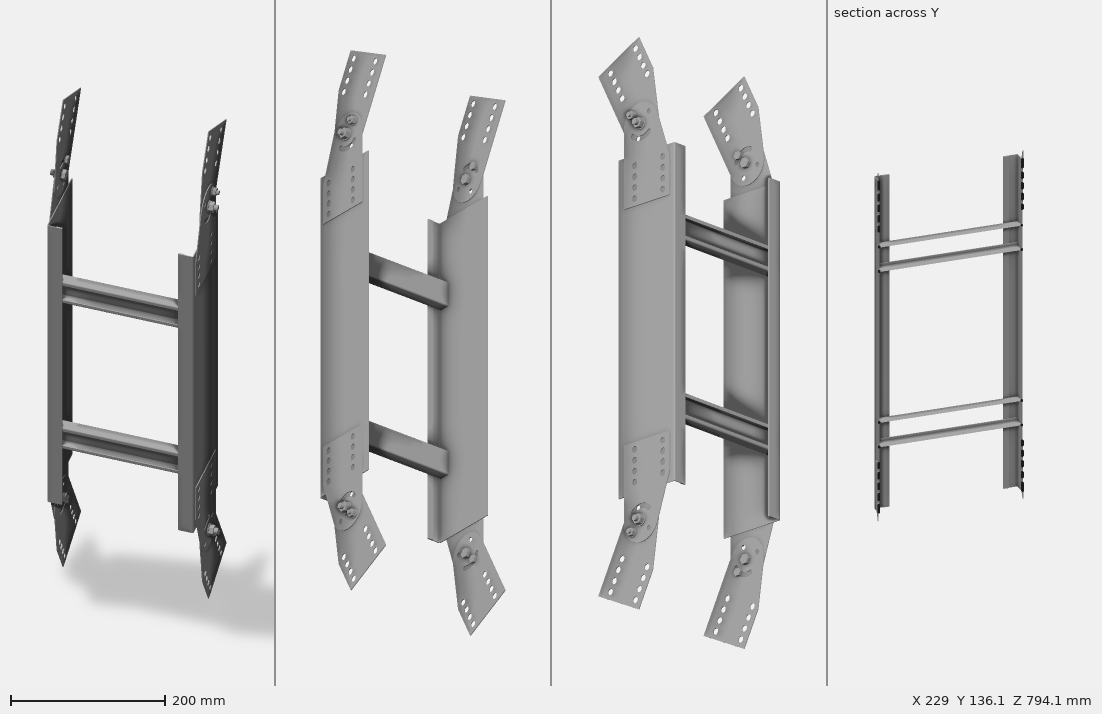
import cadquery as cq
import math

RAIL_OUTSIDE = 100.0
SHEET = 1.2
BEND_RADIUS = 2.0
INNER_BEND = BEND_RADIUS - SHEET
PLATE = 1.2

RAIL_LENGTH = 469.5
RAIL_DEPTH = 100.0
RAIL_FLANGE = 21.0
HEM_WIDTH = 8.0
HEM_BACK = 2 * SHEET

RUNG_HEIGHT = 36.0
RUNG_DEPTH = 17.0
RUNG_LIP = 5.5
RUNG_SPACING = 248.0

LINK_ANGLE = 27
PIVOT_Y = 59.0
PIVOT_Z = 275.0
PLATE_RADIUS = 30.0
PLATE_LENGTH = 111.0
PLATE_WIDTH = 81.0
STRAIGHT_START = 56.5
FAR_SIDE = PLATE_WIDTH - PLATE_RADIUS

HOLE_DIAMETER = 9.0
HOLE_ROWS = 4
HOLE_PITCH = 15.0
FIRST_HOLE = 56.0
HOLE_COLUMNS = (11.0, -39.0)
LOCK_RADIUS = 20.0
LOCK_ANGLE = 45
LOCK_HOLE_DIAMETER = 7.0

WASHER_THICKNESS = 1.5
PIVOT_BOLT = {"shank": 8.0, "flats": 13.0, "washer": 17.0, "head": 5.5, "nut": 6.0, "tip": 114.5}
LOCK_BOLT = {"shank": 6.0, "flats": 10.0, "washer": 13.0, "head": 4.0, "nut": 5.0, "tip": 111.0}


def make_rail():
    """Right-hand rail: an angle whose front flange ends in a flat hem folded back on itself."""
    inside = RAIL_OUTSIDE - SHEET
    flange_end = RAIL_OUTSIDE - RAIL_FLANGE
    outline = [
        (RAIL_OUTSIDE, 0),
        (RAIL_OUTSIDE, RAIL_DEPTH),
        (inside, RAIL_DEPTH),
        (inside, SHEET),
        (flange_end + HEM_WIDTH, SHEET),
        (flange_end + HEM_WIDTH, HEM_BACK),
        (flange_end, HEM_BACK),
        (flange_end, 0),
    ]
    rail = cq.Workplane("XY").polyline(outline).close().extrude(RAIL_LENGTH / 2, both=True)
    outer_corner = cq.selectors.NearestToPointSelector((RAIL_OUTSIDE, 0, 0))
    inner_corner = cq.selectors.NearestToPointSelector((inside, SHEET, 0))
    return rail.edges(outer_corner).fillet(BEND_RADIUS).edges(inner_corner).fillet(INNER_BEND)


def make_rung(z):
    """Lipped channel open toward the rail flanges, reaching from web to web behind the hems."""
    half_length = RAIL_OUTSIDE - SHEET
    middle = HEM_BACK + RUNG_DEPTH / 2

    def bar(centre_y, depth, height):
        return cq.Workplane("YZ").center(centre_y, z).rect(depth, height).extrude(half_length, both=True)

    outside = bar(middle, RUNG_DEPTH, RUNG_HEIGHT).edges("|X").fillet(BEND_RADIUS)
    inside = bar(middle, RUNG_DEPTH - 2 * SHEET, RUNG_HEIGHT - 2 * SHEET)
    inside = inside.edges("|X").fillet(INNER_BEND)
    mouth = bar(HEM_BACK, 2 * SHEET, RUNG_HEIGHT - 2 * RUNG_LIP)
    return outside.cut(inside).cut(mouth)


def make_ladder():
    """Two rails joined by two rungs."""
    rail = make_rail()
    ladder = rail.union(rail.mirror("YZ"))
    for z in (-RUNG_SPACING / 2, RUNG_SPACING / 2):
        ladder = ladder.union(make_rung(z))
    return ladder


def on_lock_circle(angle, radius=LOCK_RADIUS):
    """Point at an angle from the plate's long axis, positive toward its near side."""
    return (radius * math.sin(math.radians(angle)), radius * math.cos(math.radians(angle)))


def plate_outline(plane_x):
    """Plate with its pivot at the origin and its long axis along +Z, extruded along +X."""
    slope_length_sq = FAR_SIDE**2 + STRAIGHT_START**2 - PLATE_RADIUS**2
    corner_angle = math.atan2(STRAIGHT_START, -FAR_SIDE)
    tangent_angle = corner_angle + math.atan2(math.sqrt(slope_length_sq), PLATE_RADIUS)
    tangent = (PLATE_RADIUS * math.cos(tangent_angle), PLATE_RADIUS * math.sin(tangent_angle))
    return (
        cq.Workplane("YZ", origin=(plane_x, 0, 0))
        .moveTo(PLATE_RADIUS, 0)
        .lineTo(PLATE_RADIUS, PLATE_LENGTH)
        .lineTo(-FAR_SIDE, PLATE_LENGTH)
        .lineTo(-FAR_SIDE, STRAIGHT_START)
        .lineTo(*tangent)
        .threePointArc((0, -PLATE_RADIUS), (PLATE_RADIUS, 0))
        .close()
        .extrude(PLATE)
    )


def lock_slot(plane_x):
    """Curved slot around the pivot for the locking bolt."""
    half_width = LOCK_HOLE_DIAMETER / 2
    outer = LOCK_RADIUS + half_width
    inner = LOCK_RADIUS - half_width
    slot = (
        cq.Workplane("YZ", origin=(plane_x, 0, 0))
        .moveTo(*on_lock_circle(-LOCK_ANGLE, outer))
        .threePointArc((0, outer), on_lock_circle(LOCK_ANGLE, outer))
        .lineTo(*on_lock_circle(LOCK_ANGLE, inner))
        .threePointArc((0, inner), on_lock_circle(-LOCK_ANGLE, inner))
        .close()
        .extrude(PLATE)
    )
    ends = [on_lock_circle(-LOCK_ANGLE), on_lock_circle(LOCK_ANGLE)]
    caps = cq.Workplane("YZ", origin=(plane_x, 0, 0)).pushPoints(ends).circle(half_width).extrude(PLATE)
    return slot.union(caps)


def make_plate(plane_x):
    """Link plate with two columns of holes, two lock holes and the lock slot."""
    hole_points = [(y, FIRST_HOLE + row * HOLE_PITCH) for y in HOLE_COLUMNS for row in range(HOLE_ROWS)]
    lock_points = [on_lock_circle(180 - LOCK_ANGLE), on_lock_circle(180 + LOCK_ANGLE)]
    face = cq.Workplane("YZ", origin=(plane_x, 0, 0))
    holes = face.pushPoints(hole_points).circle(HOLE_DIAMETER / 2).extrude(PLATE)
    lock_holes = face.pushPoints(lock_points).circle(LOCK_HOLE_DIAMETER / 2).extrude(PLATE)
    return plate_outline(plane_x).cut(holes).cut(lock_holes).cut(lock_slot(plane_x))


def make_bolt(bolt, y, z):
    """Bolt along X with its head inside, and a washer and nut on the outside."""
    head_seat = RAIL_OUTSIDE - PLATE
    washer_seat = RAIL_OUTSIDE + PLATE
    nut_seat = washer_seat + WASHER_THICKNESS
    corners = bolt["flats"] / math.cos(math.pi / 6)

    def section(x):
        return cq.Workplane("YZ", origin=(x, 0, 0)).center(y, z)

    shank = section(head_seat).circle(bolt["shank"] / 2).extrude(bolt["tip"] - head_seat)
    head = section(head_seat).polygon(6, corners).extrude(-bolt["head"])
    washer = section(washer_seat).circle(bolt["washer"] / 2).extrude(WASHER_THICKNESS)
    nut = section(nut_seat).polygon(6, corners).extrude(bolt["nut"])
    return shank.union(head).union(washer).union(nut)


def make_joint():
    """Upper right joint: two equal plates pivoting on each other, clamped by two bolts."""
    fixed_plate = make_plate(RAIL_OUTSIDE).mirror("XY")
    swung_plate = make_plate(RAIL_OUTSIDE - PLATE).rotate((0, 0, 0), (1, 0, 0), -LINK_ANGLE)
    pivot_bolt = make_bolt(PIVOT_BOLT, 0, 0)
    lock_bolt = make_bolt(LOCK_BOLT, *on_lock_circle(LOCK_ANGLE))
    joint = fixed_plate.union(swung_plate, clean=False)
    joint = joint.union(pivot_bolt, clean=False).union(lock_bolt, clean=False)
    return joint.translate((0, PIVOT_Y, PIVOT_Z))


ladder = make_ladder()
upper_joint = make_joint()
joints = []
for upper in (upper_joint, upper_joint.mirror("XY")):
    for joint in (upper, upper.mirror("YZ")):
        joints.append(joint.solids().val())

result = cq.Compound.makeCompound([ladder.solids().val(), *joints])